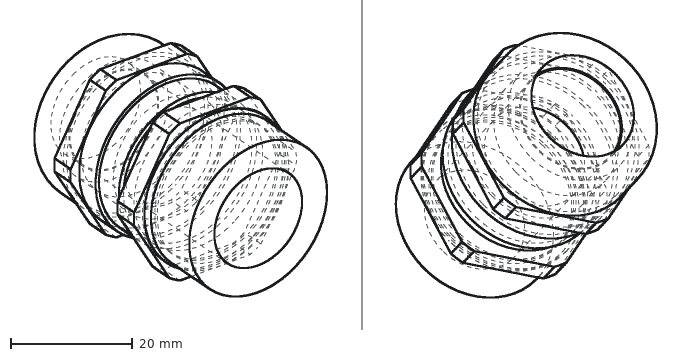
import cadquery as cq
import math

LENGTH = 45.0

HEX_FLATS = 30.0
HEX_CORNER_DIAMETER = 33.3
CAP_HEX_START = 11.02
CAP_HEX_END = 15.5
BODY_HEX_START = 28.45
BODY_HEX_END = 33.08

CAP_DIAMETER = 29.75
CAP_LENGTH = 20.02
CAP_ROUNDING = 4.5
CAP_MOUTH_DIAMETER = 18.4

THREAD_DIAMETER = 28.3
NECK_DIAMETER = 26.35
BORE_DIAMETER = 18.0
BODY_START = CAP_HEX_START
REAR_THREAD_START = 34.4
NECK_START = 25.45

SEAL_DIAMETER = 22.4
SEAL_START = 5.0
SEAL_END = CAP_LENGTH

RING_SECTION = 1.7
RING_OUTER_DIAMETER = 29.1
RING_START = 32.6
GROOVE_DIAMETER = RING_OUTER_DIAMETER - 2 * RING_SECTION
RING_CENTER_DIAMETER = RING_OUTER_DIAMETER - RING_SECTION
RING_CENTER_X = RING_START + RING_SECTION / 2


def cylinder(diameter, start, end):
    """Cylinder on the X axis between two X positions."""
    return cq.Workplane("YZ", origin=(start, 0, 0)).circle(diameter / 2).extrude(end - start)


def hex_collar(start, end):
    """Hexagonal prism with flats facing +Z and -Z and rounded corners."""
    full_diameter = HEX_FLATS / math.cos(math.pi / 6)
    hexagon = cq.Workplane("YZ", origin=(start, 0, 0)).polygon(6, full_diameter).extrude(end - start)
    return hexagon.intersect(cylinder(HEX_CORNER_DIAMETER, start, end))


def make_cap():
    """Domed nut with a mouth, a seal pocket and a threaded cavity."""
    cap = cylinder(CAP_DIAMETER, 0, CAP_LENGTH).faces("<X").edges().fillet(CAP_ROUNDING)
    cap = cap.union(hex_collar(CAP_HEX_START, CAP_HEX_END))
    cap = cap.cut(cylinder(CAP_MOUTH_DIAMETER, 0, SEAL_START))
    cap = cap.cut(cylinder(SEAL_DIAMETER, SEAL_START, BODY_START))
    return cap.cut(cylinder(THREAD_DIAMETER, BODY_START, CAP_LENGTH))


def make_seal():
    """Plain sleeve that grips the cable."""
    return cylinder(SEAL_DIAMETER, SEAL_START, SEAL_END).cut(cylinder(BORE_DIAMETER, SEAL_START, SEAL_END))


def make_body():
    """Threaded tube with a hexagon, a relieved neck and an O-ring groove."""
    body = cylinder(NECK_DIAMETER, BODY_START, LENGTH)
    body = body.union(cylinder(THREAD_DIAMETER, BODY_START, NECK_START))
    body = body.union(hex_collar(BODY_HEX_START, BODY_HEX_END))
    body = body.union(cylinder(THREAD_DIAMETER, REAR_THREAD_START, LENGTH))
    groove = cylinder(RING_OUTER_DIAMETER, RING_START, REAR_THREAD_START)
    groove = groove.cut(cylinder(GROOVE_DIAMETER, RING_START, REAR_THREAD_START))
    body = body.cut(groove)
    body = body.cut(cylinder(SEAL_DIAMETER, BODY_START, SEAL_END))
    return body.cut(cylinder(BORE_DIAMETER, SEAL_END, LENGTH))


def make_o_ring():
    """Torus around the X axis, resting on the groove floor."""
    section = cq.Workplane("XY").center(RING_CENTER_X, RING_CENTER_DIAMETER / 2).circle(RING_SECTION / 2)
    axis_start = (-RING_CENTER_X, -RING_CENTER_DIAMETER / 2)
    axis_end = (0, -RING_CENTER_DIAMETER / 2)
    return section.revolve(360, axis_start, axis_end)


cap = make_cap()
seal = make_seal()
body = make_body()
o_ring = make_o_ring()

result = cq.Compound.makeCompound([cap.val(), seal.val(), body.val(), o_ring.val()])